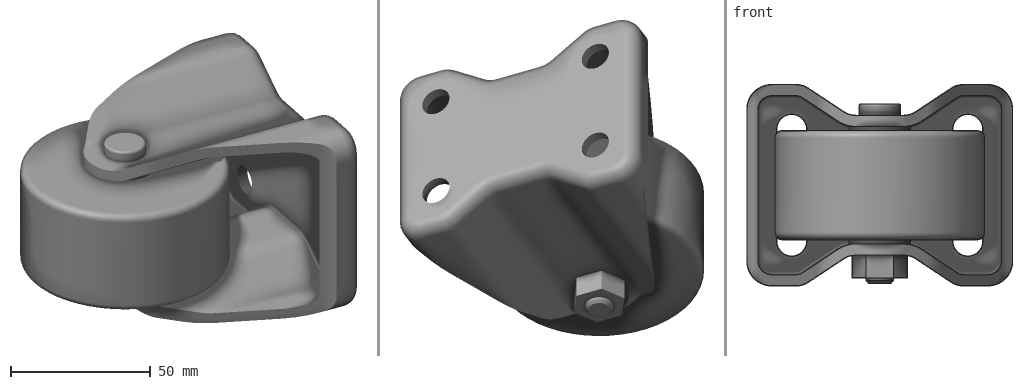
import cadquery as cq
import math


overall_depth = 108.0

wheel_diameter = 75.0
wheel_width = 39.0
wheel_edge_radius = 2.5
hub_diameter = 22.0
hub_width = 42.0

sheet = 4.0
bracket_length = 95.0
bracket_height = 72.0
waist_height = hub_width + 2 * sheet
back_y = overall_depth - wheel_diameter / 2
shoulder_x = 27.5
waist_x = 10.9
corner_radius = 9.0
bend_radius = 8.0
inner_back_radius = 1.0
outer_back_radius = inner_back_radius + sheet

leg_tip_radius = 14.8
leg_tip_angle = 37.8
leg_side_angle = 68.5
leg_half_width = 21.7
leg_knee_radius = 15.0
flange_depth = 8.7
flange_blend_radius = 10.0

hole_diameter = 10.7
hole_spacing_x = 63.0
hole_spacing_z = 40.0

head_diameter = 15.0
head_height = 4.1
head_edge_radius = 1.0
nut_across_corners = 19.8
nut_height = 8.1
bolt_diameter = 9.8
bolt_projection = 1.9
bolt_chamfer = 1.0


def disc(diameter, bottom_z, height):
    """Round body on the wheel axis."""
    return cq.Workplane("XY").workplane(offset=bottom_z).circle(diameter / 2).extrude(height)


def bow_tie(inset, rear_y, rear_radius):
    """Bow-tie block inset from the bracket outline, running from rear_y past the leg tips."""
    half_length = bracket_length / 2
    upper_edge = [
        (half_length, bracket_height / 2),
        (shoulder_x, bracket_height / 2),
        (waist_x, waist_height / 2),
        (-waist_x, waist_height / 2),
        (-shoulder_x, bracket_height / 2),
        (-half_length, bracket_height / 2),
    ]
    lower_edge = [(-x, -z) for x, z in upper_edge]
    points = [cq.Vector(x, rear_y, z) for x, z in upper_edge + lower_edge]
    outline = cq.Wire.makePolygon(points, close=True)

    corner_limit = half_length - corner_radius
    bends = [v for v in outline.Vertices() if abs(v.X) < corner_limit]
    outline = outline.fillet2D(bend_radius, bends)
    corners = [v for v in outline.Vertices() if abs(v.X) > corner_limit]
    outline = outline.fillet2D(corner_radius, corners)
    if inset:
        outline = outline.offset2D(-inset)[0]
    depth = cq.Vector(0, -rear_y - leg_tip_radius, 0)
    block = cq.Workplane(cq.Solid.extrudeLinear(outline, [], depth))
    return block.faces(">Y").edges().fillet(rear_radius)


def side_profile():
    """Prism along Z that trims the cup into a flange and two tapering legs."""
    tip_angle = math.radians(leg_tip_angle)
    side_slope = math.tan(math.radians(leg_side_angle))
    flange_y = back_y - flange_depth
    overhang_x = bracket_length
    tip_x = leg_tip_radius * math.sin(tip_angle)
    tip_y = -leg_tip_radius * math.cos(tip_angle)

    tip_slope = math.tan(tip_angle)
    knee_x = (leg_half_width * side_slope + tip_y - tip_x * tip_slope) / (side_slope - tip_slope)
    knee_y = (knee_x - leg_half_width) * side_slope
    flange_x = leg_half_width + flange_y / side_slope

    prism = (
        cq.Workplane("XY")
        .workplane(offset=-bracket_height / 2)
        .moveTo(-overhang_x, back_y)
        .lineTo(-overhang_x, flange_y)
        .lineTo(-flange_x, flange_y)
        .lineTo(-knee_x, knee_y)
        .lineTo(-tip_x, tip_y)
        .threePointArc((0, -leg_tip_radius), (tip_x, tip_y))
        .lineTo(knee_x, knee_y)
        .lineTo(flange_x, flange_y)
        .lineTo(overhang_x, flange_y)
        .lineTo(overhang_x, back_y)
        .close()
        .extrude(bracket_height)
    )
    rounded_corners = [
        (knee_x, knee_y, leg_knee_radius),
        (flange_x, flange_y, flange_blend_radius),
    ]
    for x, y, radius in rounded_corners:
        for side in (-1, 1):
            corner_edge = cq.selectors.NearestToPointSelector((side * x, y, 0))
            prism = prism.edges(corner_edge).fillet(radius)
    return prism


def bracket():
    """Trimmed cup with four mounting holes through its back plate."""
    outside = bow_tie(0, back_y, outer_back_radius)
    inside = bow_tie(sheet, back_y - sheet, inner_back_radius)
    cup = outside.cut(inside)
    holes = (
        cq.Workplane("XZ", origin=(0, back_y, 0))
        .rarray(hole_spacing_x, hole_spacing_z, 2, 2)
        .circle(hole_diameter / 2)
        .extrude(sheet)
    )
    return cup.intersect(side_profile()).cut(holes)


def wheel():
    """Wheel with rounded rims on a slightly wider hub."""
    tyre = disc(wheel_diameter, -wheel_width / 2, wheel_width).edges().fillet(wheel_edge_radius)
    return tyre.union(disc(hub_diameter, -hub_width / 2, hub_width))


def axle():
    """Bolt head on the upper leg, nut and bolt end on the lower leg."""
    seat_z = waist_height / 2
    nut_z = -seat_z - nut_height
    bolt_z = nut_z - bolt_projection
    head = disc(head_diameter, seat_z, head_height).faces(">Z").edges().fillet(head_edge_radius)
    nut = cq.Workplane("XY").workplane(offset=nut_z).polygon(6, nut_across_corners).extrude(nut_height)
    shank = disc(bolt_diameter, bolt_z, seat_z - bolt_z).faces("<Z").edges().chamfer(bolt_chamfer)
    return shank.union(head).union(nut)


result = bracket().union(wheel()).union(axle())